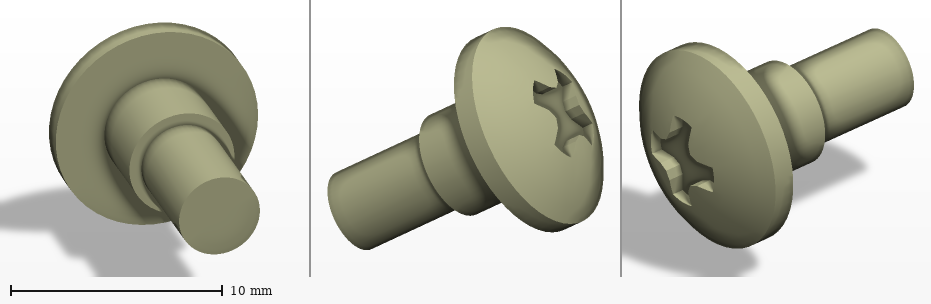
import cadquery as cq
import math

overall_length = 12.89
shank_length = 6.0
shank_diameter = 4.0
shoulder_length = 4.0
shoulder_diameter = 5.2
rim_length = 1.1
head_diameter = 10.0

recess_diameter = 4.63
arm_width = 1.37
flank_start = 1.33
inner_corner = 0.88
recess_depth = 0.85

head_radius = head_diameter / 2
shoulder_radius = shoulder_diameter / 2
shank_radius = shank_diameter / 2
shank_start = overall_length - shank_length
shoulder_start = shank_start - shoulder_length
rim_start = shoulder_start - rim_length

corner_radius = math.hypot(inner_corner, inner_corner)
dome_center = (rim_start**2 + head_radius**2 - corner_radius**2) / (2 * rim_start)
dome_radius = math.hypot(dome_center, corner_radius)
dome_apex = dome_center - dome_radius


def make_body():
    """Revolve the domed head, shoulder and shank about the X axis."""
    mid_angle = math.asin(head_radius / dome_radius) / 2
    dome_middle = (
        dome_center - dome_radius * math.cos(mid_angle),
        dome_radius * math.sin(mid_angle),
    )
    return (
        cq.Workplane("XY")
        .moveTo(dome_apex, 0)
        .threePointArc(dome_middle, (rim_start, head_radius))
        .lineTo(shoulder_start, head_radius)
        .lineTo(shoulder_start, shoulder_radius)
        .lineTo(shank_start, shoulder_radius)
        .lineTo(shank_start, shank_radius)
        .lineTo(overall_length, shank_radius)
        .lineTo(overall_length, 0)
        .close()
        .revolve(360, (0, 0, 0), (1, 0, 0))
    )


def make_recess():
    """Build the flat-bottomed cross with rounded tips and flared inner corners."""
    tip_radius = recess_diameter / 2
    half_width = arm_width / 2
    tip_corner = math.sqrt(tip_radius**2 - half_width**2)

    def turned(point, quarter):
        y, z = point
        for _ in range(quarter):
            y, z = -z, y
        return (y, z)

    outline = cq.Workplane("YZ", origin=(dome_apex, 0, 0)).moveTo(tip_corner, -half_width)
    for quarter in range(4):
        outline = outline.threePointArc(
            turned((tip_radius, 0), quarter),
            turned((tip_corner, half_width), quarter),
        )
        flank_points = [
            (flank_start, half_width),
            (inner_corner, inner_corner),
            (half_width, flank_start),
        ]
        for point in flank_points:
            outline = outline.lineTo(*turned(point, quarter))
        if quarter < 3:
            outline = outline.lineTo(*turned((half_width, tip_corner), quarter))
    return outline.close().extrude(recess_depth - dome_apex)


result = make_body().cut(make_recess())